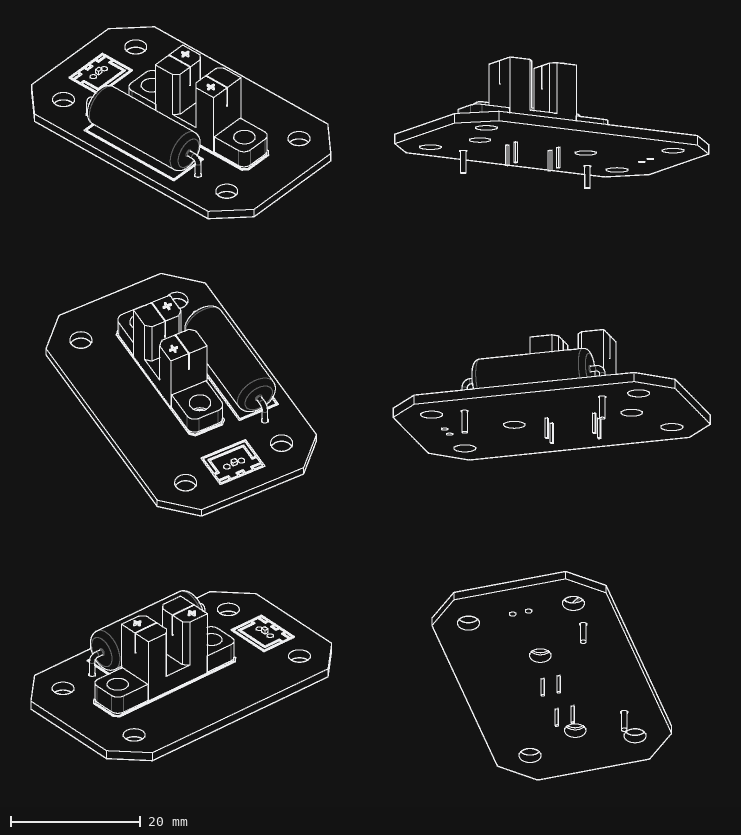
import cadquery as cq
BOARD_LENGTH = 45.7
BOARD_WIDTH = 28.05
BOARD_THICKNESS = 1.5
BOARD_CHAMFER = 5.03
MOUNT_HOLE_DIAMETER = 3.4
MOUNT_HOLE_X = 16.75
MOUNT_HOLE_Y = 8.45

MARK_WIDTH = 0.25
MARK_DEPTH = 0.1

SENSOR_X = 3.43
SENSOR_Y = 0.05
SENSOR_GAP = 0.4
SENSOR_BOTTOM = BOARD_THICKNESS + SENSOR_GAP
EAR_SPAN = 24.5
EAR_WIDTH = 6.08
EAR_HEIGHT = 3.0
EAR_CORNER_RADIUS = 1.33
EAR_HOLE_DIAMETER = 3.3
EAR_HOLE_OFFSET = 9.5
TOWER_HEIGHT = 11.0
TOWER_SPAN = 11.95
TOWER_WIDTH = 6.4
BEAM_GAP = 3.2
TOWER_CHAMFER = 0.8
SLIT_WIDTH = 0.15
SLIT_DEPTH = 3.7
PLUS_LENGTH = 1.35
PLUS_BAR_WIDTH = 0.2
PLUS_HEIGHT = 0.27
PLUS_X = 4.1
PLUS_Y = 1.7
SENSOR_MARK_LENGTH = 24.85
SENSOR_MARK_WIDTH = 6.2
SENSOR_MARK_CHAMFER = 0.75

PIN_X_SIZE = 0.35
PIN_Y_SIZE = 0.5
PIN_X = 3.85
PIN_Y = 1.3
PIN_PROTRUSION = 3.15

RESISTOR_X = -0.27
RESISTOR_Y = -MOUNT_HOLE_Y
RESISTOR_LENGTH = 18.35
RESISTOR_DIAMETER = 6.6
RESISTOR_FILLET = 0.85
RESISTOR_AXIS_Z = BOARD_THICKNESS + RESISTOR_DIAMETER / 2
LEAD_DIAMETER = 0.85
LEAD_OFFSET = 11.15
LEAD_HOLE_DIAMETER = 1.1
LEAD_ROOT_FILLET = 0.15
LEAD_BEND_RADIUS = 0.95
LEAD_PROTRUSION = 3.43
RESISTOR_MARK_LENGTH = 18.45
RESISTOR_MARK_WIDTH = 6.9

CONNECTOR_X = -16.55
CONNECTOR_LENGTH = 6.2
CONNECTOR_WIDTH = 7.85
CONNECTOR_PIN_X = -16.95
CONNECTOR_HOLE_DIAMETER = 1.0
CONNECTOR_HOLE_Y = 1.3
TAB_DEPTH = 0.95
END_TAB_START_Y = 1.9
MIDDLE_TAB_WIDTH = 1.3
SHROUD_LEFT_X = -17.45
SHROUD_RIGHT_X = -14.25
SHROUD_WIDTH = 6.3
PEG_X_SIZE = 0.7
PEG_Y_SIZE = 0.8
PEG_HEIGHT = 0.7


def block(x_min, x_max, y_min, y_max, z_min, z_max):
    """Axis-aligned box between the given limits."""
    return cq.Workplane("XY").box(
        x_max - x_min, y_max - y_min, z_max - z_min, centered=False
    ).translate((x_min, y_min, z_min))


def mark(x_min, x_max, y_min, y_max):
    """Cutter as deep as the engraving, flush with the board top."""
    return block(x_min, x_max, y_min, y_max, BOARD_THICKNESS - MARK_DEPTH, BOARD_THICKNESS)


def frame_mark(x_min, x_max, y_min, y_max):
    """Rectangular engraved loop; the limits are its outer edges."""
    inner = mark(x_min + MARK_WIDTH, x_max - MARK_WIDTH, y_min + MARK_WIDTH, y_max - MARK_WIDTH)
    return mark(x_min, x_max, y_min, y_max).cut(inner)


def resistor_mark():
    """Engraved rectangle around the resistor body."""
    half_length = RESISTOR_MARK_LENGTH / 2
    half_width = RESISTOR_MARK_WIDTH / 2
    return frame_mark(
        RESISTOR_X - half_length, RESISTOR_X + half_length,
        RESISTOR_Y - half_width, RESISTOR_Y + half_width,
    )


def sensor_mark():
    """Engraved loop with chamfered corners around the sensor."""
    half_length = SENSOR_MARK_LENGTH / 2
    half_width = SENSOR_MARK_WIDTH / 2
    outer = mark(
        SENSOR_X - half_length, SENSOR_X + half_length,
        SENSOR_Y - half_width, SENSOR_Y + half_width,
    ).edges("|Z").chamfer(SENSOR_MARK_CHAMFER)
    inner = outer.faces(">Z").wires().toPending().offset2D(-MARK_WIDTH).extrude(-MARK_DEPTH, combine=False)
    return outer.cut(inner)


def connector_mark():
    """Engraved connector outline: frame, three keyed tabs and inner shroud."""
    left = CONNECTOR_X - CONNECTOR_LENGTH / 2
    right = CONNECTOR_X + CONNECTOR_LENGTH / 2
    half_width = CONNECTOR_WIDTH / 2
    half_tab = MIDDLE_TAB_WIDTH / 2
    half_shroud = SHROUD_WIDTH / 2
    tab_right = left + TAB_DEPTH

    cutter = frame_mark(left, right, -half_width, half_width)
    for y_min, y_max in (
        (-half_width, -END_TAB_START_Y),
        (-half_tab, half_tab),
        (END_TAB_START_Y, half_width),
    ):
        cutter = cutter.union(frame_mark(left, tab_right, y_min, y_max))

    shroud = frame_mark(SHROUD_LEFT_X, SHROUD_RIGHT_X, -half_shroud, half_shroud)
    shroud_opening = mark(
        SHROUD_LEFT_X, SHROUD_LEFT_X + MARK_WIDTH,
        MARK_WIDTH - half_shroud, half_shroud - MARK_WIDTH,
    )
    cutter = cutter.union(shroud.cut(shroud_opening))
    for y_min, y_max in ((-half_width, -half_shroud), (half_shroud, half_width)):
        cutter = cutter.union(mark(SHROUD_LEFT_X, SHROUD_LEFT_X + MARK_WIDTH, y_min, y_max))
    return cutter


def hole_cutters(points, diameter):
    """Drills that pass right through the board at the given points."""
    return cq.Workplane("XY").pushPoints(points).circle(diameter / 2).extrude(BOARD_THICKNESS)


def make_board():
    """Chamfered board with all its holes and engraved outlines."""
    mount_points = [(x, y) for x in (-MOUNT_HOLE_X, MOUNT_HOLE_X) for y in (-MOUNT_HOLE_Y, MOUNT_HOLE_Y)]
    lead_points = [(RESISTOR_X + side * LEAD_OFFSET, RESISTOR_Y) for side in (-1, 1)]
    connector_points = [(CONNECTOR_PIN_X, y) for y in (-CONNECTOR_HOLE_Y, CONNECTOR_HOLE_Y)]
    pin_holes = cq.Workplane("XY").pushPoints(PIN_POINTS).rect(PIN_X_SIZE, PIN_Y_SIZE).extrude(BOARD_THICKNESS)
    return (
        cq.Workplane("XY")
        .box(BOARD_LENGTH, BOARD_WIDTH, BOARD_THICKNESS, centered=(True, True, False))
        .edges("|Z")
        .chamfer(BOARD_CHAMFER)
        .cut(hole_cutters(mount_points, MOUNT_HOLE_DIAMETER))
        .cut(hole_cutters(EAR_HOLE_POINTS, EAR_HOLE_DIAMETER))
        .cut(hole_cutters(lead_points, LEAD_HOLE_DIAMETER))
        .cut(hole_cutters(connector_points, CONNECTOR_HOLE_DIAMETER))
        .cut(pin_holes)
        .cut(resistor_mark())
        .cut(sensor_mark())
        .cut(connector_mark())
    )


def make_tower(side):
    """One sensor tower, with the two upright edges facing the beam gap chamfered."""
    thickness = (TOWER_SPAN - BEAM_GAP) / 2
    inner_edges = "|Z and <X" if side > 0 else "|Z and >X"
    return (
        cq.Workplane("XY")
        .box(thickness, TOWER_WIDTH, TOWER_HEIGHT - EAR_HEIGHT, centered=(True, True, False))
        .edges(inner_edges)
        .chamfer(TOWER_CHAMFER)
        .translate((side * (BEAM_GAP + thickness) / 2, 0, EAR_HEIGHT))
    )


def make_sensor():
    """Housing with two drilled ears, two slit towers and raised plus signs."""
    centered_on_floor = (True, True, False)
    housing = (
        cq.Workplane("XY")
        .box(EAR_SPAN, EAR_WIDTH, EAR_HEIGHT, centered=centered_on_floor)
        .edges("|Z")
        .fillet(EAR_CORNER_RADIUS)
        .union(cq.Workplane("XY").box(TOWER_SPAN, TOWER_WIDTH, EAR_HEIGHT, centered=centered_on_floor))
    )
    for side in (-1, 1):
        plus_sign = (
            cq.Workplane("XY", origin=(side * PLUS_X, -side * PLUS_Y, TOWER_HEIGHT))
            .rect(PLUS_LENGTH, PLUS_BAR_WIDTH)
            .extrude(PLUS_HEIGHT)
            .union(
                cq.Workplane("XY", origin=(side * PLUS_X, -side * PLUS_Y, TOWER_HEIGHT))
                .rect(PLUS_BAR_WIDTH, PLUS_LENGTH)
                .extrude(PLUS_HEIGHT)
            )
        )
        housing = housing.union(make_tower(side)).union(plus_sign)
    slit = block(
        -TOWER_SPAN / 2, TOWER_SPAN / 2,
        -SLIT_WIDTH / 2, SLIT_WIDTH / 2,
        TOWER_HEIGHT - SLIT_DEPTH, TOWER_HEIGHT,
    )
    ear_holes = (
        cq.Workplane("XY")
        .pushPoints([(-EAR_HOLE_OFFSET, 0), (EAR_HOLE_OFFSET, 0)])
        .circle(EAR_HOLE_DIAMETER / 2)
        .extrude(EAR_HEIGHT)
    )
    return housing.cut(slit).cut(ear_holes).translate((SENSOR_X, SENSOR_Y, SENSOR_BOTTOM))


def make_pin(x, y):
    """Sensor pin from the housing underside down through the board."""
    return (
        cq.Workplane("XY", origin=(x, y, -PIN_PROTRUSION))
        .rect(PIN_X_SIZE, PIN_Y_SIZE)
        .extrude(PIN_PROTRUSION + SENSOR_BOTTOM)
    )


def make_lead(side):
    """Round wire that leaves the resistor end, bends down and passes the board."""
    body_end_x = RESISTOR_X + side * RESISTOR_LENGTH / 2
    lead_x = RESISTOR_X + side * LEAD_OFFSET
    bend_start = (lead_x - side * LEAD_BEND_RADIUS, RESISTOR_AXIS_Z)
    bend_end = (lead_x, RESISTOR_AXIS_Z - LEAD_BEND_RADIUS)
    path = (
        cq.Workplane("XZ", origin=(0, RESISTOR_Y, 0))
        .moveTo(body_end_x, RESISTOR_AXIS_Z)
        .lineTo(*bend_start)
        .tangentArcPoint(bend_end, relative=False)
        .lineTo(lead_x, -LEAD_PROTRUSION)
    )
    return (
        cq.Workplane("YZ", origin=(body_end_x, RESISTOR_Y, RESISTOR_AXIS_Z))
        .circle(LEAD_DIAMETER / 2)
        .sweep(path)
    )


def make_resistor():
    """Round-ended body with two bent leads, filleted where each lead leaves the body."""
    body = (
        cq.Workplane("YZ", origin=(RESISTOR_X - RESISTOR_LENGTH / 2, RESISTOR_Y, RESISTOR_AXIS_Z))
        .circle(RESISTOR_DIAMETER / 2)
        .extrude(RESISTOR_LENGTH)
        .edges("%CIRCLE")
        .fillet(RESISTOR_FILLET)
    )
    resistor = body.union(make_lead(-1)).union(make_lead(1))
    for side in (-1, 1):
        root_center = cq.Vector(RESISTOR_X + side * RESISTOR_LENGTH / 2, RESISTOR_Y, RESISTOR_AXIS_Z)
        reach = cq.Vector(LEAD_DIAMETER, LEAD_DIAMETER, LEAD_DIAMETER) / 2
        around_root = cq.selectors.BoxSelector(root_center - reach, root_center + reach)
        end_edges = resistor.edges("%CIRCLE").edges(around_root)
        resistor = end_edges.edges(cq.selectors.RadiusNthSelector(0)).fillet(LEAD_ROOT_FILLET)
    return resistor


def make_peg():
    """Square peg standing on the board between the connector holes."""
    return (
        cq.Workplane("XY", origin=(CONNECTOR_PIN_X, 0, BOARD_THICKNESS))
        .rect(PEG_X_SIZE, PEG_Y_SIZE)
        .extrude(PEG_HEIGHT)
    )


PIN_POINTS = [(SENSOR_X + x, SENSOR_Y + y) for x in (-PIN_X, PIN_X) for y in (-PIN_Y, PIN_Y)]
EAR_HOLE_POINTS = [(SENSOR_X + x, SENSOR_Y) for x in (-EAR_HOLE_OFFSET, EAR_HOLE_OFFSET)]

board = make_board()
sensor = make_sensor()
pins = [make_pin(x, y) for x, y in PIN_POINTS]
resistor = make_resistor()
peg = make_peg()

result = cq.Compound.makeCompound(
    [board.val(), sensor.val(), *[pin.val() for pin in pins], resistor.val(), peg.val()]
)